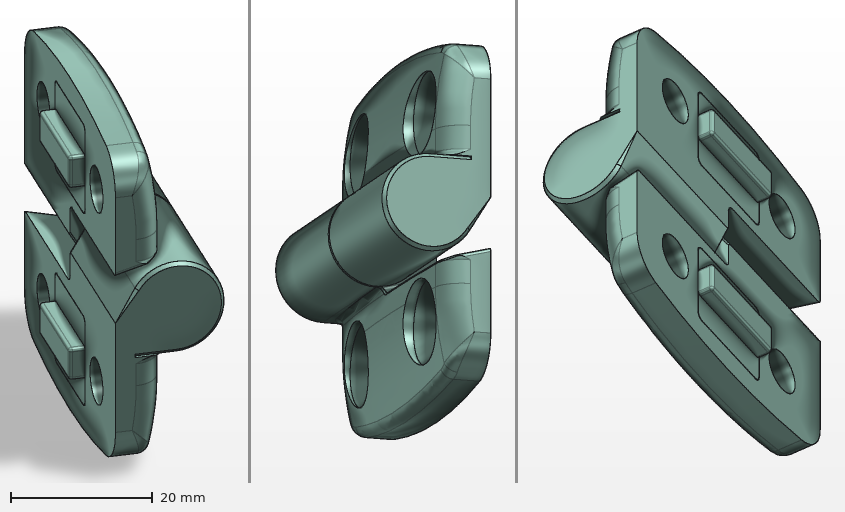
import cadquery as cq
import math

width = 48.0
height = 52.0
half_width = width / 2
half_height = height / 2
end_arc_radius = 105.55
corner_radius = 6.0

dome_height = 7.85
dome_radius_across = 249.6
dome_radius_along = 46.8
dome_start_z = 11.45
shoulder_radius = 4.0
shoulder_foot_y = 2.9
rim_radius = 1.8

knuckle_radius = 7.0
axis_y = 9.0
leaf_edge_z = 1.3
junction_radius = 1.0
outer_chamfer = 0.5
inner_chamfer = 0.25

slot_z = 6.05
slot_slope_deg = 14.5
slot_corner_radius = 1.0
slot_edge_radius = 0.5

feature_z = 15.05
hole_x = 14.0
hole_diameter = 6.8
head_diameter = 12.2
straight_depth = 3.4

pocket_width = 16.0
pocket_height = 14.0
pocket_depth = 2.1
pocket_corner_radius = 1.0
side_gap = 0.1
end_gap = 0.05
tongue_length = 2.35
tongue_height = 5.0
tongue_rounding = 0.5

clearance = 31.2
bar_overhang = 2.1
dome_sweep_deg = 30.0

margin = 0.05

edge_distance = math.hypot(axis_y, leaf_edge_z)
edge_drop = math.atan2(leaf_edge_z, axis_y)


def tangent_normal_angle(radius):
    """Direction, in the YZ plane, from the knuckle axis to the tangent point."""
    return math.pi - edge_drop + math.acos(radius / edge_distance)


def on_circle(radius, angle):
    return (axis_y + radius * math.cos(angle), radius * math.sin(angle))


def dome_section():
    """Cross-section of the plate in XY: flat front, domed back with rounded shoulders."""
    side_dome_y = dome_height - dome_radius_across + math.sqrt(dome_radius_across**2 - half_width**2)
    return (
        cq.Sketch()
        .segment((-half_width, side_dome_y), (-half_width, 0))
        .segment((half_width, 0))
        .segment((half_width, side_dome_y))
        .arc((half_width, side_dome_y), (0, dome_height), (-half_width, side_dome_y))
        .assemble()
        .reset()
        .vertices(">Y")
        .fillet(shoulder_radius)
    )


def plate():
    """Domed plate covering the upper half of the hinge, from Z = 0 to the curved end."""
    section = dome_section()
    dome_centre_y = dome_height - dome_radius_along
    base = cq.Workplane("XY").placeSketch(section).extrude(dome_start_z)
    dome = (
        cq.Workplane("XY", origin=(0, 0, dome_start_z))
        .placeSketch(section)
        .revolve(dome_sweep_deg, (0, dome_centre_y, 0), (1, dome_centre_y, 0))
    )
    side_z = half_height - end_arc_radius + math.sqrt(end_arc_radius**2 - half_width**2)
    outline = (
        cq.Workplane("XZ")
        .moveTo(-half_width, leaf_edge_z)
        .lineTo(half_width, leaf_edge_z)
        .lineTo(half_width, side_z)
        .threePointArc((0, half_height), (-half_width, side_z))
        .close()
        .extrude(-clearance)
        .edges("|Y").edges(">Z")
        .fillet(corner_radius)
    )
    return base.union(dome).intersect(outline)


def knuckle_bar():
    """Plain knuckle profile, drawn over-long so the junction fillet runs past the plate sides."""
    return (
        cq.Workplane("YZ", origin=(-half_width - bar_overhang, 0, 0))
        .moveTo(0, leaf_edge_z)
        .lineTo(0, knuckle_radius)
        .lineTo(axis_y, knuckle_radius)
        .threePointArc(
            (axis_y + knuckle_radius, 0),
            on_circle(knuckle_radius, tangent_normal_angle(knuckle_radius)),
        )
        .close()
        .extrude(width + 2 * bar_overhang)
    )


def blank():
    """Plate and knuckle joined over the full width with a filleted junction."""
    joined = plate().edges("%BSPLINE").fillet(rim_radius).union(knuckle_bar())
    junction = cq.selectors.BoxSelector(
        (-half_width - margin, -margin, knuckle_radius - margin),
        (half_width + margin, dome_height, knuckle_radius + margin),
    )
    joined = joined.edges(junction).fillet(junction_radius)
    trim = cq.Workplane("XY").box(width, 4 * clearance, 4 * clearance)
    return joined.intersect(trim)


def slot():
    """Clearance for the other leaf's knuckle: open downwards, with a rounded inner corner."""
    slope = math.tan(math.radians(slot_slope_deg))
    return (
        cq.Workplane("YZ")
        .moveTo(-clearance, slot_z - clearance * slope)
        .lineTo(clearance, slot_z + clearance * slope)
        .lineTo(clearance, -clearance)
        .lineTo(-clearance, -clearance)
        .close()
        .extrude(clearance)
        .faces("<X").edges(">Z")
        .fillet(slot_corner_radius)
    )


def outer_chamfer_waste():
    """Material removed by the chamfer round the outer end of the knuckle."""
    end_x = -half_width
    inner_radius = knuckle_radius - outer_chamfer
    inner_angle = tangent_normal_angle(inner_radius)

    def triangle(y):
        return (
            cq.Workplane("XZ", origin=(end_x, y, 0))
            .moveTo(0, inner_radius)
            .lineTo(0, knuckle_radius)
            .lineTo(outer_chamfer, knuckle_radius)
            .close()
        )

    sweep = 360 + 90 - math.degrees(tangent_normal_angle(knuckle_radius))
    cone = triangle(axis_y).revolve(sweep, (0, 0, 0), (-1, 0, 0))
    top = triangle(axis_y).extrude(axis_y - shoulder_foot_y)
    normal = cq.Vector(-1, math.cos(inner_angle), math.sin(inner_angle))
    along = cq.Vector(0, -math.sin(inner_angle), math.cos(inner_angle))
    flank = (
        cq.Workplane(cq.Plane((end_x, 0, leaf_edge_z), along, normal))
        .rect(2 * clearance, 2 * clearance)
        .extrude(clearance)
    )
    return cone, top, flank


def screw_hole(x):
    """Straight hole, then a 90 degree countersink, then a straight recess for the screw head."""
    hole_radius = hole_diameter / 2
    head_radius = head_diameter / 2
    head_y = straight_depth + head_radius - hole_radius
    return (
        cq.Workplane("XY", origin=(x, 0, feature_z))
        .lineTo(hole_radius, 0)
        .lineTo(hole_radius, straight_depth)
        .lineTo(head_radius, head_y)
        .lineTo(head_radius, dome_height)
        .lineTo(0, dome_height)
        .close()
        .revolve(360, (0, 0, 0), (0, 1, 0))
    )


def rounded_block(block_width, block_height):
    """Block the depth of the insert pocket, sunk into the mounting face."""
    return (
        cq.Workplane("XZ", origin=(0, 0, feature_z))
        .rect(block_width, block_height)
        .extrude(-pocket_depth)
        .edges("|Y")
        .fillet(pocket_corner_radius)
    )


def leaf():
    """Upper leaf, with its knuckle on the -X half."""
    body = blank().cut(slot())
    slot_edge = cq.selectors.BoxSelector(
        (half_width - margin, margin, slot_z), (half_width + margin, shoulder_foot_y, dome_start_z)
    )
    inner_rim = cq.selectors.BoxSelector(
        (-margin, axis_y, -knuckle_radius), (margin, axis_y + knuckle_radius, 0)
    )
    body = body.edges(inner_rim).chamfer(inner_chamfer)
    body = body.edges(slot_edge).fillet(slot_edge_radius)
    for waste in outer_chamfer_waste():
        body = body.cut(waste)
    for x in (-hole_x, hole_x):
        body = body.cut(screw_hole(x))
    return body.cut(rounded_block(pocket_width, pocket_height))


def insert():
    """Flush insert with a raised locating tongue, for the upper leaf."""
    plate_width = pocket_width - 2 * side_gap
    plate_height = pocket_height - 2 * end_gap
    tongue = (
        cq.Workplane("XZ", origin=(0, 0, feature_z))
        .rect(plate_width, tongue_height)
        .extrude(tongue_length)
        .edges("<Y or |Y")
        .fillet(tongue_rounding)
    )
    return rounded_block(plate_width, plate_height).union(tongue)


def half_turn(body):
    """The same body turned half way round the Y axis, from the upper to the lower position."""
    return body.rotate((0, 0, 0), (0, 1, 0), 180)


upper_leaf = leaf()
lower_leaf = half_turn(upper_leaf)
upper_insert = insert()
lower_insert = half_turn(upper_insert)

leaves = [body.solids().val() for body in (upper_leaf, lower_leaf)]
inserts = [body.solids().val() for body in (upper_insert, lower_insert)]
result = cq.Compound.makeCompound(leaves + inserts)